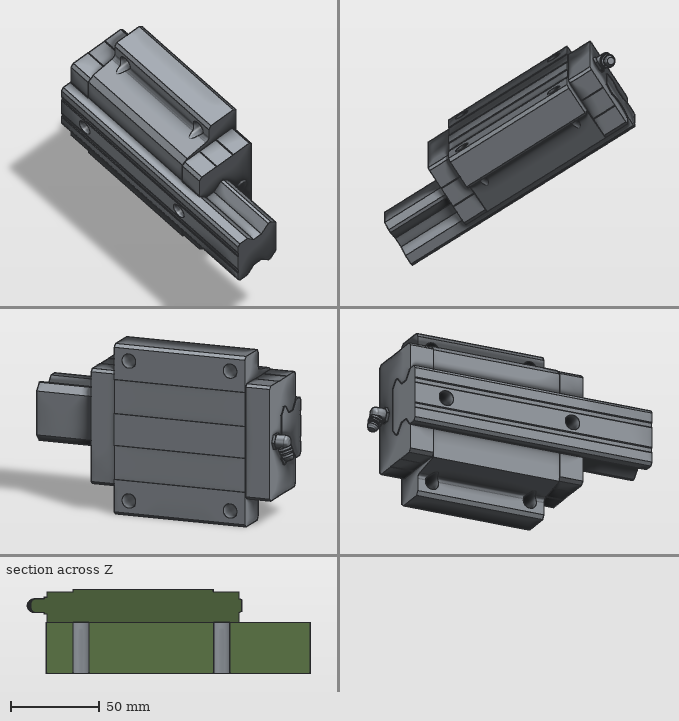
import cadquery as cq
import math


rail_length = 150.1
rail_half_width = 17.0
rail_height = 29.1
rail_base_chamfer_y = 1.5
rail_base_chamfer_z = 2.0
rail_foot_top = 7.2
rail_waist_low = 11.9
rail_waist_high = 17.9
rail_waist_half_width = 11.9
rail_head_low = 23.2
rail_head_high = 25.1
rail_top_half_width = 12.9

base_groove_offset = 7.7
base_groove_width = 3.4
base_groove_depth = 0.5

rail_hole_diameter = 9.0
rail_hole_first_x = 19.8
rail_hole_pitch = 80.0
rail_hole_count = 2

mounting_face_y = 48.0
block_start = 15.1
block_length = 80.0
block_middle = block_start + block_length / 2
block_bottom = 7.2
flange_half_width = 50.0
flange_bottom = 27.2
flange_top_chamfer_y = 2.1
flange_top_chamfer_z = 1.8
flange_bottom_chamfer_y = 1.6
flange_bottom_chamfer_z = 2.4
skirt_top_half_width = 38.0
skirt_bottom_half_width = 34.6
flange_fillet = 2.5
edge_chamfer_y = 3.4
edge_chamfer_half_width = 31.7

relief_inner = 9.3
relief_outer = 29.3
relief_depth = 0.5

flange_hole_diameter = 8.4
flange_hole_pitch_x = 62.0
flange_hole_pitch_z = 82.0

cap_length = 14.6
cap_half_width = 33.8
cap_bottom = 6.8
cap_top = mounting_face_y - 1.5
cap_top_chamfer = 1.6
cap_bottom_chamfer = 2.0
cap_band_low = 19.8
cap_band_high = 32.8
cap_band_depth = 0.2
cap_band_slope = 0.5
left_cap_start = block_start - cap_length
right_cap_start = block_start + block_length
right_cap_end = right_cap_start + cap_length

port_y = 38.6
hex_across_flats = 8.4
hex_length = 1.6
elbow_diameter = 7.9
elbow_end_x = -8.7
elbow_round = 2.4

spout_axis_x = -4.3
spout_angle = 22.5
spout_collar_radius = elbow_diameter / 2
spout_stem_radius = 6.6 / 2
spout_neck_radius = 5.5 / 2
spout_nose_radius = 2.82
spout_tip_radius = 2.1
upper_ring_start = 3.2
upper_ring_end = 4.7
lower_ring_start = 5.1
lower_ring_end = 6.5
spout_head_start = 7.4
spout_head_end = 8.8
spout_nose = 10.0
spout_tip = 11.1

plug_diameter = 8.0
plug_end_diameter = 6.6
plug_length = 1.5


def prism_along_x(outline, start, length):
    """Extrude a closed outline of (y, z) points from X = start."""
    return cq.Workplane("YZ").workplane(offset=start).polyline(outline).close().extrude(length)


def mirrored_outline(half):
    """Close a +Z half outline of (y, z) points with its mirror image."""
    return half + [(y, -z) for y, z in reversed(half)]


def box_between(x_range, y_range, z_range):
    """Box spanning the given (low, high) ranges."""
    size = [high - low for low, high in (x_range, y_range, z_range)]
    corner = (x_range[0], y_range[0], z_range[0])
    return cq.Workplane("XY").box(*size, centered=False).translate(corner)


def hole_along_y(diameter, x, z):
    """Cylinder along Y, tall enough to pass through the whole assembly."""
    axis = cq.Workplane("XZ", origin=(x, mounting_face_y, z))
    return axis.circle(diameter / 2).extrude(mounting_face_y)


def rail_blank():
    """Rail section without grooves or holes; it also shapes the carriage channel."""
    half = [
        (0, rail_half_width - rail_base_chamfer_z),
        (rail_base_chamfer_y, rail_half_width),
        (rail_foot_top, rail_half_width),
        (rail_waist_low, rail_waist_half_width),
        (rail_waist_high, rail_waist_half_width),
        (rail_head_low, rail_half_width),
        (rail_head_high, rail_half_width),
        (rail_height, rail_top_half_width),
    ]
    return prism_along_x(mirrored_outline(half), 0, rail_length)


def make_rail():
    rail = rail_blank()
    for side in (-1, 1):
        middle = side * base_groove_offset
        floor_half = base_groove_width / 2 - base_groove_depth
        groove = [
            (0, middle - base_groove_width / 2),
            (base_groove_depth, middle - floor_half),
            (base_groove_depth, middle + floor_half),
            (0, middle + base_groove_width / 2),
        ]
        rail = rail.cut(prism_along_x(groove, 0, rail_length))
    for index in range(rail_hole_count):
        x = rail_hole_first_x + index * rail_hole_pitch
        rail = rail.cut(hole_along_y(rail_hole_diameter, x, 0))
    return rail


def block_half_outline():
    """Side outline from the mounting face down to the tapered skirt, for +Z."""
    return [
        (mounting_face_y, flange_half_width - flange_top_chamfer_z),
        (mounting_face_y - flange_top_chamfer_y, flange_half_width),
        (flange_bottom + flange_bottom_chamfer_y, flange_half_width),
        (flange_bottom, flange_half_width - flange_bottom_chamfer_z),
        (flange_bottom, skirt_top_half_width),
    ]


def make_block():
    taper = (skirt_top_half_width - skirt_bottom_half_width) / (flange_bottom - block_bottom)
    edge_top_half_width = skirt_bottom_half_width + taper * edge_chamfer_y
    upper = block_half_outline()
    outline = upper + [
        (block_bottom + edge_chamfer_y, edge_top_half_width),
        (block_bottom, edge_chamfer_half_width),
        (block_bottom, -skirt_bottom_half_width),
    ] + [(y, -z) for y, z in reversed(upper)]
    block = prism_along_x(outline, block_start, block_length)

    for side in (-1, 1):
        corner = (block_middle, flange_bottom, side * skirt_top_half_width)
        block = block.edges(cq.selectors.NearestToPointSelector(corner)).fillet(flange_fillet)

    for side in (-1, 1):
        relief_z = sorted((side * relief_inner, side * relief_outer))
        block = block.cut(box_between(
            (block_start, right_cap_start),
            (mounting_face_y - relief_depth, mounting_face_y),
            relief_z,
        ))
        for end in (-1, 1):
            x = block_middle + end * flange_hole_pitch_x / 2
            z = side * flange_hole_pitch_z / 2
            block = block.cut(hole_along_y(flange_hole_diameter, x, z))
    return block


def make_cap(start):
    half = [
        (cap_top, cap_half_width - cap_top_chamfer),
        (cap_top - cap_top_chamfer, cap_half_width),
        (cap_band_high, cap_half_width),
        (cap_band_high - cap_band_slope, cap_half_width - cap_band_depth),
        (cap_band_low + cap_band_slope, cap_half_width - cap_band_depth),
        (cap_band_low, cap_half_width),
        (cap_bottom + cap_bottom_chamfer, cap_half_width),
        (cap_bottom, cap_half_width - cap_bottom_chamfer),
    ]
    return prism_along_x(mirrored_outline(half), start, cap_length)


def make_spout():
    """Turned outlet of the nipple, built pointing down and then tilted."""
    outline = [
        (0, 0),
        (spout_stem_radius, 0),
        (spout_stem_radius, -upper_ring_start),
        (spout_collar_radius, -upper_ring_start),
        (spout_collar_radius, -upper_ring_end),
        (spout_stem_radius, -upper_ring_end),
        (spout_stem_radius, -lower_ring_start),
        (spout_collar_radius, -lower_ring_start),
        (spout_collar_radius, -lower_ring_end),
        (spout_neck_radius, -lower_ring_end),
        (spout_neck_radius, -spout_head_start),
        (spout_stem_radius, -spout_head_start),
        (spout_stem_radius, -spout_head_end),
        (spout_nose_radius, -spout_nose),
        (spout_tip_radius, -spout_tip),
        (0, -spout_tip),
    ]
    spout = cq.Workplane("XZ").polyline(outline).close().revolve(360, (0, 0), (0, 1))
    spout = spout.rotate((0, 0, 0), (0, 1, 0), spout_angle)
    return spout.translate((spout_axis_x, port_y, 0))


def make_nipple():
    port = cq.Workplane("YZ", origin=(left_cap_start, port_y, 0))
    hex_across_corners = hex_across_flats / math.cos(math.pi / 6)
    hexagon = port.polygon(6, hex_across_corners).extrude(-hex_length)
    elbow = port.circle(elbow_diameter / 2).extrude(elbow_end_x - left_cap_start)
    elbow = elbow.faces("<X").edges().fillet(elbow_round)
    return hexagon.union(elbow).union(make_spout())


def make_plug():
    plug = cq.Workplane("YZ", origin=(right_cap_end, port_y, 0))
    taper = math.degrees(math.atan2((plug_diameter - plug_end_diameter) / 2, plug_length))
    return plug.circle(plug_diameter / 2).extrude(plug_length, taper=taper)


def make_carriage():
    carriage = make_block().union(make_cap(left_cap_start)).union(make_cap(right_cap_start))
    carriage = carriage.cut(rail_blank())
    return carriage.union(make_nipple()).union(make_plug())


rail = make_rail()
carriage = make_carriage()

result = cq.Compound.makeCompound([rail.val(), carriage.val()])